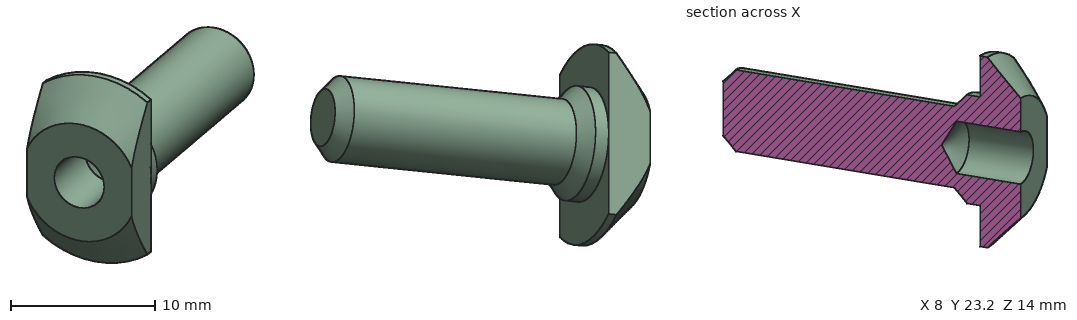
import cadquery as cq
import math

total_length = 23.2
head_diameter = 14.0
head_width = 8.0
head_thickness = 3.2
head_rim = 0.6
shaft_diameter = 6.0
collar_length = 1.0
tip_chamfer = 1.0
hole_diameter = 3.8
hole_depth = 5.0
drill_point_angle = 118.0

head_radius = head_diameter / 2
collar_radius = head_width / 2
shaft_radius = shaft_diameter / 2
hole_radius = hole_diameter / 2


def revolve_about_y(profile):
    """Turn a closed (radius, y) profile around the Y axis."""
    return cq.Workplane("XY").polyline(profile).close().revolve(360, (0, 0, 0), (0, 1, 0))


def make_head():
    """Round head with a conical front, cut to two parallel flats."""
    cone_length = head_thickness - head_rim
    disc = revolve_about_y([
        (0, 0),
        (head_radius - cone_length, 0),
        (head_radius, cone_length),
        (head_radius, head_thickness),
        (0, head_thickness),
    ])
    flats = cq.Workplane("XY").box(head_width, 2 * head_thickness, head_diameter * 2)
    return disc.intersect(flats)


def make_shank():
    """Collar with a 45 degree shoulder, shaft and chamfered tip."""
    collar_end = head_thickness + collar_length
    shoulder_end = collar_end + collar_radius - shaft_radius
    return revolve_about_y([
        (0, head_thickness),
        (collar_radius, head_thickness),
        (collar_radius, collar_end),
        (shaft_radius, shoulder_end),
        (shaft_radius, total_length - tip_chamfer),
        (shaft_radius - tip_chamfer, total_length),
        (0, total_length),
    ])


def make_hole():
    """Blind drilled hole with a conical bottom."""
    point_length = hole_radius / math.tan(math.radians(drill_point_angle / 2))
    return revolve_about_y([
        (0, 0),
        (hole_radius, 0),
        (hole_radius, hole_depth),
        (0, hole_depth + point_length),
    ])


result = make_head().union(make_shank()).cut(make_hole())